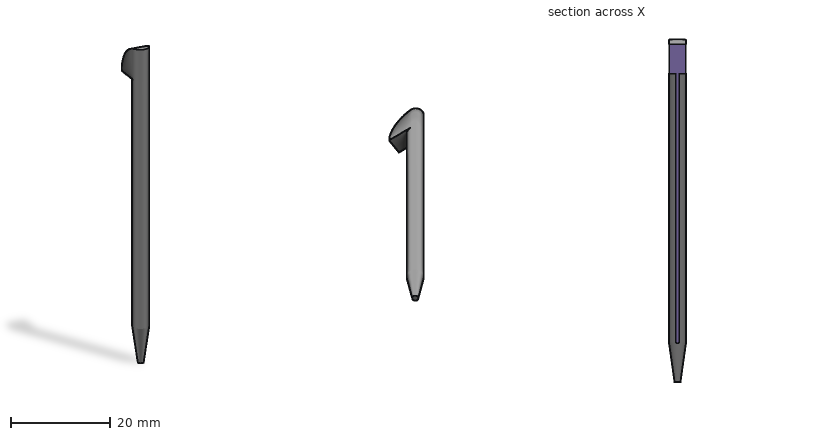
import cadquery as cq

total_length = 69.0
shaft_diameter = 3.5
shaft_radius = shaft_diameter / 2
head_size = 7.0
tip_length = 8.0
tip_diameter = 1.25

head_base = total_length - head_size
head_left = shaft_radius - head_size

shaft = (
    cq.Workplane("XZ")
    .lineTo(tip_diameter / 2, 0)
    .lineTo(shaft_radius, tip_length)
    .lineTo(shaft_radius, head_base)
    .lineTo(0, head_base)
    .close()
    .revolve(360, (0, 0, 0), (0, 1, 0))
)

diagonal = head_size / 2**0.5
head_disc = (
    cq.Workplane("XZ")
    .moveTo(shaft_radius, head_base)
    .lineTo(head_left, head_base)
    .threePointArc((shaft_radius - diagonal, head_base + diagonal), (shaft_radius, total_length))
    .close()
    .extrude(shaft_radius, both=True)
)

head_plan = (
    cq.Workplane("XY", origin=(0, 0, head_base))
    .moveTo(head_left, -shaft_radius)
    .lineTo(0, -shaft_radius)
    .threePointArc((shaft_radius, 0), (0, shaft_radius))
    .lineTo(head_left, shaft_radius)
    .close()
    .extrude(head_size)
)

result = shaft.union(head_disc.intersect(head_plan))